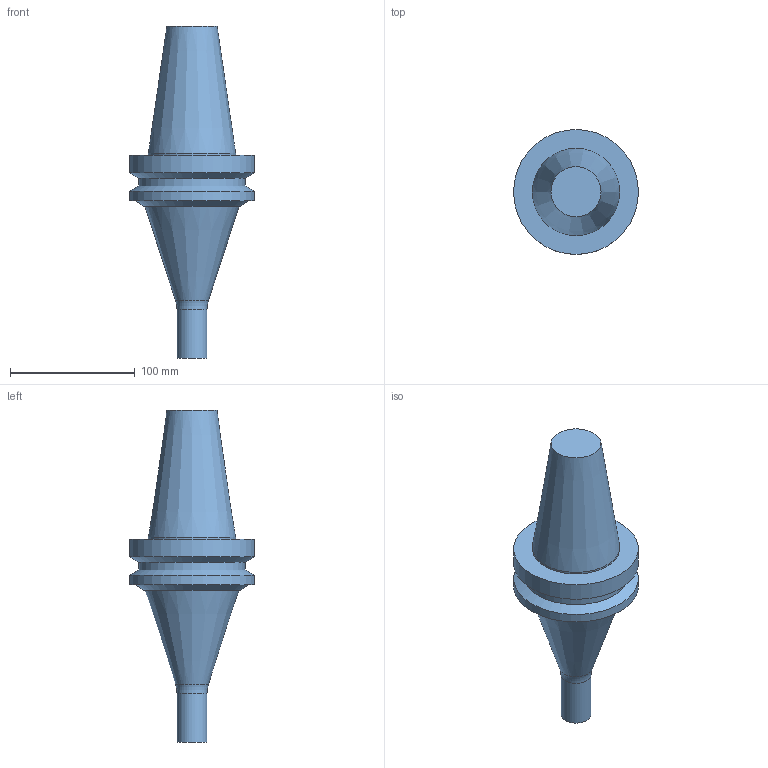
import cadquery as cq
import math


gauge_diameter = 69.85
taper_length = 101.8
taper_ratio = 7 / 24
taper_end_diameter = gauge_diameter - taper_length * taper_ratio

flange_diameter = 100.0
flange_top_z = -1.5
flange_bottom_z = -38.0
groove_floor_diameter = 85.0
groove_center_z = -23.15
groove_mouth_width = 15.0
groove_wall_angle = math.radians(30)

collar_top_diameter = 90.0
collar_bottom_diameter = 77.0
collar_height = 4.5

tip_diameter = 24.0
tip_length = 38.8
overall_projection = 164.0
blend_radius = 24.0
nose_half_angle = math.radians(18)


def taper_points():
    """Shank outline from the axis at the small end to the flange face."""
    return [
        (0, taper_length),
        (taper_end_diameter / 2, taper_length),
        (gauge_diameter / 2, 0),
        (gauge_diameter / 2, flange_top_z),
    ]


def flange_points():
    """Flange outline, including the V groove with its flat floor."""
    flange_radius = flange_diameter / 2
    floor_radius = groove_floor_diameter / 2
    wall_height = (flange_radius - floor_radius) * math.tan(groove_wall_angle)
    mouth_top_z = groove_center_z + groove_mouth_width / 2
    mouth_bottom_z = groove_center_z - groove_mouth_width / 2
    return [
        (flange_radius, flange_top_z),
        (flange_radius, mouth_top_z),
        (floor_radius, mouth_top_z - wall_height),
        (floor_radius, mouth_bottom_z + wall_height),
        (flange_radius, mouth_bottom_z),
        (flange_radius, flange_bottom_z),
    ]


def add_nose(outline):
    """Continue the outline with the collar, the nose cone, its blend and the tip."""
    collar_bottom_z = flange_bottom_z - collar_height
    tip_radius = tip_diameter / 2
    tip_start_z = tip_length - overall_projection

    def blend_point(angle):
        radius = tip_radius + blend_radius * (1 - math.cos(angle))
        return (radius, tip_start_z + blend_radius * math.sin(angle))

    cone_end_radius, cone_end_z = blend_point(nose_half_angle)
    cone_length = collar_bottom_z - cone_end_z
    nose_top_radius = cone_end_radius + cone_length * math.tan(nose_half_angle)
    return (
        outline
        .lineTo(collar_top_diameter / 2, flange_bottom_z)
        .lineTo(collar_bottom_diameter / 2, collar_bottom_z)
        .lineTo(nose_top_radius, collar_bottom_z)
        .lineTo(cone_end_radius, cone_end_z)
        .threePointArc(blend_point(nose_half_angle / 2), blend_point(0))
        .lineTo(tip_radius, -overall_projection)
        .lineTo(0, -overall_projection)
    )


outline = cq.Workplane("XZ").polyline(taper_points() + flange_points())
result = add_nose(outline).close().revolve(360, (0, 0, 0), (0, 1, 0))